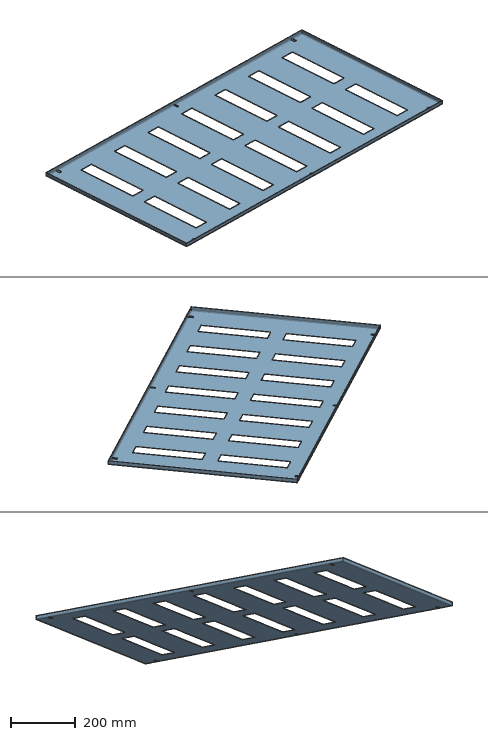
import cadquery as cq

WIDTH = 599.0
LENGTH = 1147.0
HEIGHT = 13.0
SHEET = 1.0
INNER_BEND_RADIUS = 0.7
OUTER_BEND_RADIUS = INNER_BEND_RADIUS + SHEET

WINDOW_WIDTH = 220.0
WINDOW_LENGTH = 46.0
WINDOW_COLUMN_PITCH = 270.0
WINDOW_ROW_PITCH = 150.0
WINDOW_COLUMNS = 2
WINDOW_ROWS = 7

SLOT_LENGTH = 15.0
CORNER_SLOT_WIDTH = 8.0
MIDDLE_SLOT_WIDTH = 5.0
SLOT_EDGE_GAP = 2.0
CORNER_SLOT_Y = 526.0
SLOT_X = WIDTH / 2 - SLOT_EDGE_GAP - SLOT_LENGTH / 2


def make_tray():
    """Flat sheet with its four edges bent up into low walls."""
    outside = (
        cq.Workplane("XY")
        .box(WIDTH, LENGTH, HEIGHT, centered=(True, True, False))
        .faces("<Z")
        .edges()
        .fillet(OUTER_BEND_RADIUS)
    )
    cavity = (
        cq.Workplane("XY", origin=(0, 0, SHEET))
        .rect(WIDTH - 2 * SHEET, LENGTH - 2 * SHEET)
        .extrude(HEIGHT)
        .faces("<Z")
        .edges()
        .fillet(INNER_BEND_RADIUS)
    )
    return outside.cut(cavity)


def make_windows():
    """Cutters for the grid of rectangular windows in the floor."""
    return (
        cq.Workplane("XY")
        .rarray(WINDOW_COLUMN_PITCH, WINDOW_ROW_PITCH, WINDOW_COLUMNS, WINDOW_ROWS)
        .rect(WINDOW_WIDTH, WINDOW_LENGTH)
        .extrude(SHEET)
    )


def make_slots(centre_ys, slot_width):
    """Pairs of slots, one beside each long wall, at every given Y position."""
    centres = [(x, y) for x in (-SLOT_X, SLOT_X) for y in centre_ys]
    return cq.Workplane("XY").pushPoints(centres).rect(SLOT_LENGTH, slot_width).extrude(SHEET)


result = (
    make_tray()
    .cut(make_windows())
    .cut(make_slots((-CORNER_SLOT_Y, CORNER_SLOT_Y), CORNER_SLOT_WIDTH))
    .cut(make_slots((0,), MIDDLE_SLOT_WIDTH))
)